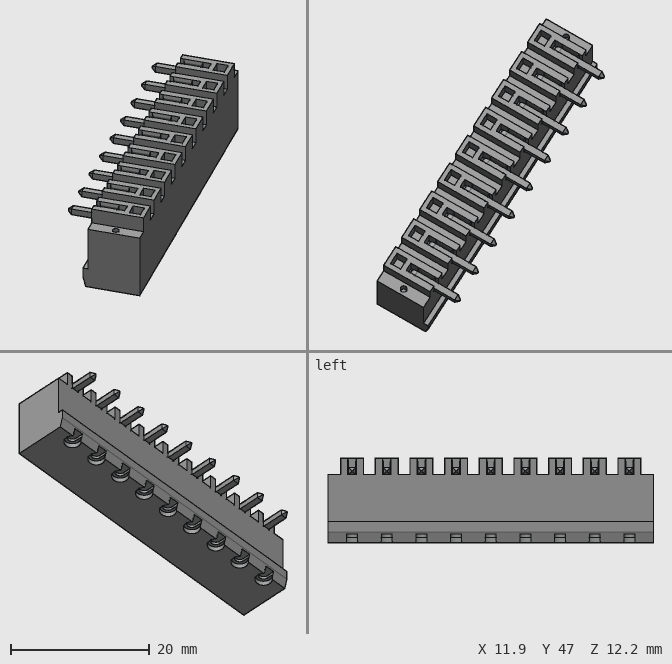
import cadquery as cq
LENGTH = 47.0
DEPTH = 11.9
HEIGHT = 12.2

BODY_FRONT = 4.05
SHOULDER_DEPTH = 2.35
SHOULDER_Z = HEIGHT - SHOULDER_DEPTH
LIP_FRONT = 3.3
LIP_FOOT = 3.7
LIP_TOP = 3.1
LIP_SLOPE_TOP = 1.55

POLE_COUNT = 9
END_SHOULDER_LENGTH = 1.85
BLOCK_WIDTH = 3.35
POLE_PITCH = (LENGTH - 2 * END_SHOULDER_LENGTH - BLOCK_WIDTH) / (POLE_COUNT - 1)

PIN_SIZE = 1.0
PIN_REAR = 8.4
PIN_TIP_LENGTH = 0.6
PIN_TIP_SIZE = 0.25
PIN_BEND_RADIUS = 0.95

SLOT_WIDTH = 1.25
SLOT_REAR = 8.7
RIB_FRONT = 4.55
RIB_REAR = 7.45
RIB_END_TAPER = 0.15
RIB_TAPER_HEIGHT = 0.55

POCKET_FRONT = 9.5
POCKET_LENGTH = 1.7
POCKET_WIDTH = 1.85
POCKET_DEPTH = SHOULDER_DEPTH

ENTRY_X = 4.6
ENTRY_DIAMETER = 2.5
ENTRY_DEPTH = 0.8
ENTRY_SLOT_WIDTH = 1.55
ENTRY_SLOT_DEPTH = 1.25

END_HOLE_DIAMETER = 1.0
END_HOLE_DEPTH = 1.4
END_HOLE_INSET = 0.95


def box(x_min, x_max, width, z_min, z_max):
    """Box centred on Y = 0."""
    return (
        cq.Workplane("XY")
        .box(x_max - x_min, width, z_max - z_min, centered=(False, True, False))
        .translate((x_min, 0, z_min))
    )


def make_base():
    """Long housing below the shoulders, with a sloped lip along its front."""
    profile = [
        (LIP_FOOT, 0),
        (DEPTH, 0),
        (DEPTH, SHOULDER_Z),
        (BODY_FRONT, SHOULDER_Z),
        (BODY_FRONT, LIP_TOP),
        (LIP_FRONT, LIP_TOP),
        (LIP_FRONT, LIP_SLOPE_TOP),
    ]
    return cq.Workplane("XZ").polyline(profile).close().extrude(LENGTH / 2, both=True)


def make_ribs():
    """Two ribs on the slot walls that taper in from the top and both ends to grip the pin."""
    taper_z = HEIGHT - RIB_TAPER_HEIGHT
    section = [
        (SLOT_WIDTH / 2, HEIGHT),
        (PIN_SIZE / 2, taper_z),
        (PIN_SIZE / 2, SHOULDER_Z),
        (SLOT_WIDTH / 2, SHOULDER_Z),
    ]
    outline = [
        (RIB_FRONT, SLOT_WIDTH / 2),
        (RIB_FRONT + RIB_END_TAPER, PIN_SIZE / 2),
        (RIB_REAR - RIB_END_TAPER, PIN_SIZE / 2),
        (RIB_REAR, SLOT_WIDTH / 2),
    ]
    bar = (
        cq.Workplane("YZ", origin=(RIB_FRONT, 0, 0))
        .polyline(section)
        .close()
        .extrude(RIB_REAR - RIB_FRONT)
    )
    plan = (
        cq.Workplane("XY", origin=(0, 0, SHOULDER_Z))
        .polyline(outline)
        .close()
        .extrude(SHOULDER_DEPTH)
    )
    rib = bar.intersect(plan)
    return rib.union(rib.mirror("XZ"))


def make_pin():
    """Square pin with a pyramid tip, bent down into the base at its rear end."""
    bar = (
        box(PIN_TIP_LENGTH, PIN_REAR, PIN_SIZE, SHOULDER_Z, SHOULDER_Z + PIN_SIZE)
        .edges(">X and >Z")
        .fillet(PIN_BEND_RADIUS)
    )
    tip = (
        cq.Workplane("YZ", origin=(0, 0, SHOULDER_Z + PIN_SIZE / 2))
        .rect(PIN_TIP_SIZE, PIN_TIP_SIZE)
        .workplane(offset=PIN_TIP_LENGTH)
        .rect(PIN_SIZE, PIN_SIZE)
        .loft()
    )
    return bar.union(tip)


def make_terminal():
    """Raised block of one pole with its slot, ribs, pocket and pin."""
    slot = box(BODY_FRONT, SLOT_REAR, SLOT_WIDTH, SHOULDER_Z, HEIGHT)
    pocket = box(POCKET_FRONT, POCKET_FRONT + POCKET_LENGTH, POCKET_WIDTH, HEIGHT - POCKET_DEPTH, HEIGHT)
    block = box(BODY_FRONT, DEPTH, BLOCK_WIDTH, SHOULDER_Z, HEIGHT)
    return block.cut(slot).cut(pocket).union(make_ribs()).union(make_pin())


def make_entry():
    """Cutter for one wire entry, which breaks out through the sloped lip."""
    recess = cq.Workplane("XY", origin=(ENTRY_X, 0, 0)).circle(ENTRY_DIAMETER / 2).extrude(ENTRY_DEPTH)
    slot_end = (
        cq.Workplane("XY", origin=(ENTRY_X, 0, 0))
        .circle(ENTRY_SLOT_WIDTH / 2)
        .extrude(ENTRY_SLOT_DEPTH)
    )
    slot = box(LIP_FRONT, ENTRY_X, ENTRY_SLOT_WIDTH, 0, ENTRY_SLOT_DEPTH)
    return recess.union(slot).union(slot_end)


result = make_base()

terminal = make_terminal()
entry = make_entry()
for pole in range(POLE_COUNT):
    pole_y = (pole - (POLE_COUNT - 1) / 2) * POLE_PITCH
    result = result.union(terminal.translate((0, pole_y, 0)))
    result = result.cut(entry.translate((0, pole_y, 0)))

end_hole_x = (BODY_FRONT + DEPTH) / 2
end_hole_y = LENGTH / 2 - END_HOLE_INSET
end_holes = (
    cq.Workplane("XY", origin=(end_hole_x, 0, SHOULDER_Z - END_HOLE_DEPTH))
    .pushPoints([(0, -end_hole_y), (0, end_hole_y)])
    .circle(END_HOLE_DIAMETER / 2)
    .extrude(END_HOLE_DEPTH)
)
result = result.cut(end_holes)